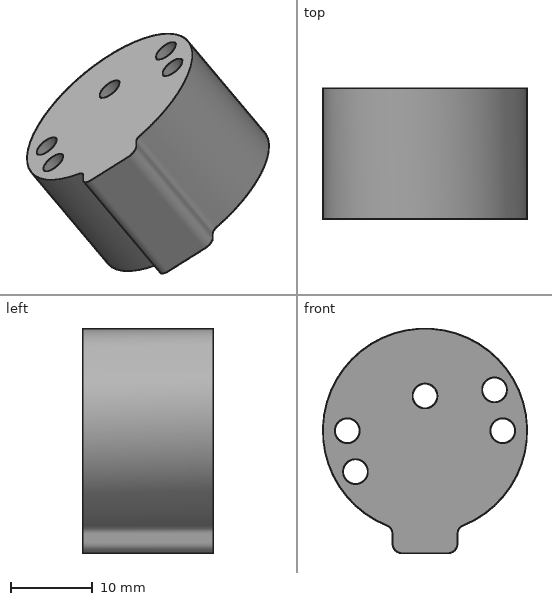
import cadquery as cq
import math

body_diameter = 25.0
body_length = 16.0
key_width = 8.0
key_reach = 15.0
key_corner_radius = 1.25
key_root_radius = 1.0

hole_diameter = 3.0
upper_hole_z = 4.25
side_hole_x = 9.5
offset_hole_x = 8.5
offset_hole_z = 5.0
hole_centers = [
    (0, upper_hole_z),
    (side_hole_x, 0),
    (-side_hole_x, 0),
    (offset_hole_x, offset_hole_z),
    (-offset_hole_x, -offset_hole_z),
]

profile_plane = cq.Workplane("XZ")


def make_body():
    """Round body with a rounded key along its underside."""
    cylinder = profile_plane.circle(body_diameter / 2).extrude(body_length / 2, both=True)
    key = (
        profile_plane.center(0, -key_reach / 2)
        .rect(key_width, key_reach)
        .extrude(body_length / 2, both=True)
        .edges("|Y and <Z")
        .fillet(key_corner_radius)
    )
    return cylinder.union(key)


def round_key_roots(body):
    """Blend the key's flanks into the round body."""
    root_z = -math.sqrt((body_diameter / 2) ** 2 - (key_width / 2) ** 2)
    search_size = 0.2
    for side in (-1, 1):
        search_box = cq.selectors.BoxSelector(
            (side * key_width / 2 - search_size, -body_length, root_z - search_size),
            (side * key_width / 2 + search_size, body_length, root_z + search_size),
        )
        body = body.edges("|Y").edges(search_box).fillet(key_root_radius)
    return body


def make_holes():
    """Straight holes running the full length of the body."""
    return (
        profile_plane.pushPoints(hole_centers)
        .circle(hole_diameter / 2)
        .extrude(body_length, both=True)
    )


result = round_key_roots(make_body()).cut(make_holes())